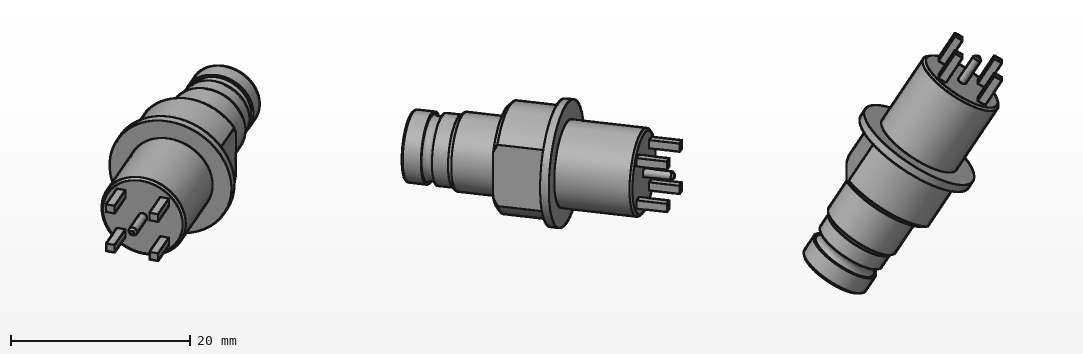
import cadquery as cq

PIN_LENGTH = 3.5
REAR_LENGTH = 9.0
FLANGE_THICKNESS = 1.0
COLLAR_LENGTH = 6.0
BARREL_LENGTH = 5.05
BARREL_TAPER = 0.5
RING_LENGTH = 1.85
GROOVE_WIDTH = 1.28
TOTAL_LENGTH = 30.5

rear_start = PIN_LENGTH
flange_start = rear_start + REAR_LENGTH
collar_start = flange_start + FLANGE_THICKNESS
barrel_start = collar_start + COLLAR_LENGTH
taper_start = barrel_start + BARREL_LENGTH
ring_start = taper_start + BARREL_TAPER
groove_start = ring_start + RING_LENGTH
nose_start = groove_start + GROOVE_WIDTH

REAR_DIAMETER = 10.0
REAR_CHAMFER = 0.27
FLANGE_DIAMETER = 14.5
COLLAR_DIAMETER = 12.8
COLLAR_CHAMFER = 0.5
COLLAR_ACROSS_FLATS = 10.4
BARREL_DIAMETER = 9.0
NOSE_DIAMETER = 8.25
NOSE_CHAMFER = 0.18

GROOVE_NOSE_STEP = 0.27
GROOVE_DEPTH = 0.45

CENTER_PIN_DIAMETER = 1.0
CENTER_PIN_CHAMFER = 0.27
SQUARE_PIN_SIDE = 1.0
SQUARE_PIN_SPACING = 5.15


def cylinder(diameter, start, length):
    """Solid cylinder about the Y axis, running toward +Y from start."""
    plane = cq.Workplane("XZ", origin=(0, start, 0))
    return plane.circle(diameter / 2).extrude(-length)


def make_collar():
    """Chamfered round collar with two flats facing -X and +X."""
    collar = cylinder(COLLAR_DIAMETER, collar_start, COLLAR_LENGTH)
    collar = collar.faces(">Y").chamfer(COLLAR_CHAMFER)
    flats = cq.Workplane("XY").box(COLLAR_ACROSS_FLATS, 2 * TOTAL_LENGTH, COLLAR_DIAMETER)
    return collar.intersect(flats)


def make_nose():
    """Revolved barrel, ring, rounded groove and nose."""
    barrel_radius = BARREL_DIAMETER / 2
    nose_radius = NOSE_DIAMETER / 2
    groove_middle = (nose_radius - GROOVE_DEPTH, groove_start + GROOVE_WIDTH / 2)
    profile = (
        cq.Workplane("XY")
        .moveTo(0, barrel_start)
        .lineTo(barrel_radius, barrel_start)
        .lineTo(barrel_radius, taper_start)
        .lineTo(nose_radius, ring_start)
        .lineTo(nose_radius, groove_start)
        .threePointArc(groove_middle, (nose_radius - GROOVE_NOSE_STEP, nose_start))
        .lineTo(nose_radius, nose_start)
        .lineTo(nose_radius, TOTAL_LENGTH - NOSE_CHAMFER)
        .lineTo(nose_radius - NOSE_CHAMFER, TOTAL_LENGTH)
        .lineTo(0, TOTAL_LENGTH)
        .close()
    )
    return profile.revolve(360, (0, 0), (0, 1))


def make_pins():
    """Round centre contact surrounded by four square pins."""
    center = cylinder(CENTER_PIN_DIAMETER, 0, PIN_LENGTH)
    center = center.faces("<Y").chamfer(CENTER_PIN_CHAMFER)
    squares = (
        cq.Workplane("XZ")
        .rarray(SQUARE_PIN_SPACING, SQUARE_PIN_SPACING, 2, 2)
        .rect(SQUARE_PIN_SIDE, SQUARE_PIN_SIDE)
        .extrude(-PIN_LENGTH)
    )
    return center.union(squares)


rear = cylinder(REAR_DIAMETER, rear_start, REAR_LENGTH).faces("<Y").chamfer(REAR_CHAMFER)
flange = cylinder(FLANGE_DIAMETER, flange_start, FLANGE_THICKNESS)

result = rear.union(flange).union(make_collar()).union(make_nose()).union(make_pins())